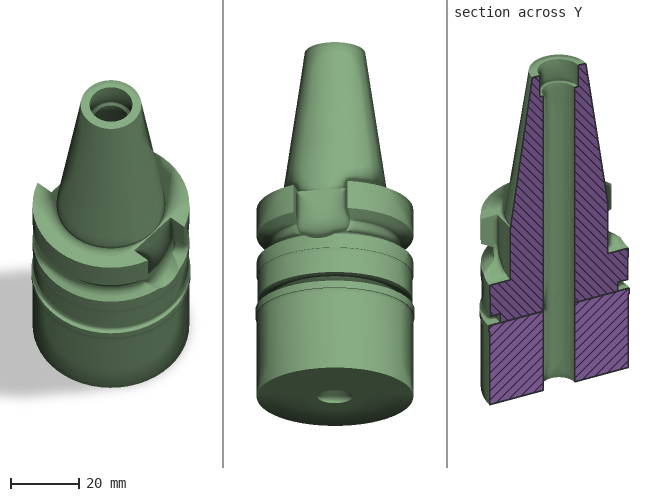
import cadquery as cq

total_height = 108.4
collar_bottom = 25.1
nut_height = 27.3
neck_top = 30.2
flange_bottom = 37.9
groove_cone_bottom = 42.4
groove_bottom = 44.7
groove_top = 48.2
groove_cone_top = 50.5
flange_top = 59.1
taper_bottom = 59.9

collar_diameter = 46.7
collar_radius = collar_diameter / 2
nut_radius = 23.0
neck_radius = 19.5
shoulder_radius = 22.8
flange_radius = 23.0
groove_radius = 19.2
taper_base_radius = 15.9
taper_tip_radius = 8.9

bore_radius = 5.1
counterbore_radius = 6.3
counterbore_depth = 7.3

slot_width = 16.2
slot_floor_distance = 16.2
slot_bottom = 41.1


def make_nut():
    """Round clamping nut with a thin collar at its upper end and a through bore."""
    body = cq.Workplane("XY").circle(nut_radius).extrude(nut_height)
    collar = (
        cq.Workplane("XY")
        .workplane(offset=collar_bottom)
        .circle(collar_radius)
        .extrude(nut_height - collar_bottom)
    )
    bore = cq.Workplane("XY").circle(bore_radius).extrude(nut_height)
    return body.union(collar).cut(bore)


def turned_holder():
    """Neck, shoulder, grooved flange and taper, turned about the Z axis."""
    return (
        cq.Workplane("XZ")
        .moveTo(0, nut_height)
        .lineTo(neck_radius, nut_height)
        .lineTo(neck_radius, neck_top)
        .lineTo(shoulder_radius, neck_top)
        .lineTo(shoulder_radius, flange_bottom)
        .lineTo(flange_radius, flange_bottom)
        .lineTo(flange_radius, groove_cone_bottom)
        .lineTo(groove_radius, groove_bottom)
        .lineTo(groove_radius, groove_top)
        .lineTo(flange_radius, groove_cone_top)
        .lineTo(flange_radius, flange_top)
        .lineTo(taper_base_radius, flange_top)
        .lineTo(taper_base_radius, taper_bottom)
        .lineTo(taper_tip_radius, total_height)
        .lineTo(0, total_height)
        .close()
        .revolve(360, (0, 0, 0), (0, 1, 0))
    )


def drive_slot(turn_angle):
    """Cutter for one slot: open above and outward, with a half-round bottom."""
    half_width = slot_width / 2
    arc_center_height = slot_bottom + half_width
    return (
        cq.Workplane("YZ")
        .workplane(offset=slot_floor_distance)
        .moveTo(-half_width, flange_top)
        .lineTo(-half_width, arc_center_height)
        .threePointArc((0, slot_bottom), (half_width, arc_center_height))
        .lineTo(half_width, flange_top)
        .close()
        .extrude(collar_radius - slot_floor_distance)
        .rotate((0, 0, 0), (0, 0, 1), turn_angle)
    )


def holder_bore():
    """Cutter for the through bore and its wider mouth in the taper tip."""
    bore = (
        cq.Workplane("XY")
        .workplane(offset=nut_height)
        .circle(bore_radius)
        .extrude(total_height - nut_height)
    )
    mouth = (
        cq.Workplane("XY")
        .workplane(offset=total_height - counterbore_depth)
        .circle(counterbore_radius)
        .extrude(counterbore_depth)
    )
    return bore.union(mouth)


def make_holder():
    """Tool holder that stands on the nut."""
    holder = turned_holder().cut(holder_bore())
    for turn_angle in (0, 180):
        holder = holder.cut(drive_slot(turn_angle))
    return holder


nut = make_nut()
holder = make_holder()

result = cq.Compound.makeCompound([nut.solids().val(), holder.solids().val()])